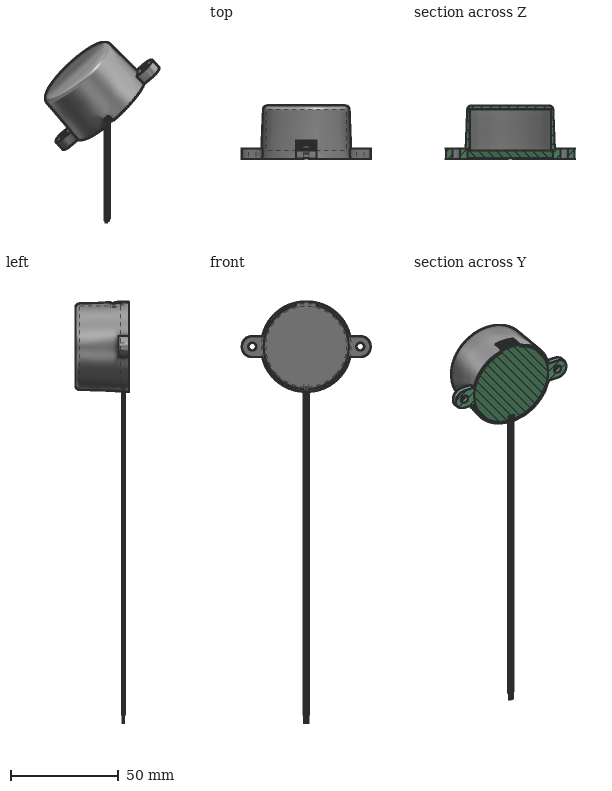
import cadquery as cq

total_height = 195.8

case_depth = 25.0
front_diameter = 42.1
back_diameter = 40.1
back_fillet = 2.4
bore_diameter = 37.6
back_wall = 2.0

ear_radius = 4.9
ear_thickness = 5.0
ear_span = 60.0
ear_hole_diameter = 3.5

cover_diameter = 39.5
cover_recess = 0.4
cover_thickness = 3.7

window_width = 9.4
window_depth = 8.8

plug_gap = 1.0
plug_corner = 0.8
plug_levels = 3
plug_step_width = 0.8
plug_step_height = 0.4
plug_groove_width = 0.8

insulation_diameter = 1.4
core_diameter = 0.65
bare_length = 4.0
wire_y = 2.7
wire_insertion = 2.0

case_radius = front_diameter / 2
wall_slope = (front_diameter - back_diameter) / 2 / case_depth
cover_back = cover_recess + cover_thickness
ear_hole_x = ear_span / 2 - ear_radius
wire_places = [-insulation_diameter / 2, insulation_diameter / 2]
wire_top = wire_insertion - cover_diameter / 2
wire_bottom = case_radius - cover_recess * wall_slope - total_height


def disc(diameter, y_start, length, end_diameter=None):
    """Round body along +Y starting at y_start, tapered when end_diameter is given."""
    radius = diameter / 2
    end_radius = (end_diameter or diameter) / 2
    y_end = y_start + length
    profile = [(0, y_start), (radius, y_start), (end_radius, y_end), (0, y_end)]
    return cq.Workplane("XY").polyline(profile).close().revolve(360, (0, 0), (0, 1))


def case_envelope(inward=0):
    """Outside of the case, with its round surface moved inward by the given amount."""
    body = disc(front_diameter - 2 * inward, 0, case_depth, back_diameter - 2 * inward)
    return body.faces(">Y").edges().fillet(back_fillet)


def upper_block(width, y_start, y_end):
    """Block between two Y places, reaching from the case axis up past the wall."""
    block = cq.Workplane("XY").box(width, y_end - y_start, case_radius, centered=(True, False, False))
    return block.translate((0, y_start, 0))


def wire_rod(x, diameter, bottom):
    rod = cq.Workplane("XY", origin=(x, wire_y, bottom)).circle(diameter / 2)
    return rod.extrude(wire_top - bottom)


def wire_slot(y_start):
    """Slot through the lower wall, open to the front, that ends round against both wires."""
    slot = cq.Workplane("XY").box(
        2 * insulation_diameter, wire_y - y_start, case_radius, centered=(True, False, False)
    )
    slot = slot.translate((0, y_start, -case_radius))
    for x in wire_places:
        slot = slot.union(wire_rod(x, insulation_diameter, -case_radius))
    return slot


def make_ears():
    ears = cq.Workplane("XZ").slot2D(ear_span, 2 * ear_radius).extrude(-ear_thickness)
    holes = cq.Workplane("XZ").pushPoints([(-ear_hole_x, 0), (ear_hole_x, 0)])
    return ears.cut(holes.circle(ear_hole_diameter / 2).extrude(-ear_thickness))


def make_housing():
    body = case_envelope().union(make_ears())
    body = body.cut(disc(bore_diameter, 0, case_depth - back_wall))
    body = body.cut(disc(cover_diameter, 0, cover_back))
    body = body.cut(upper_block(window_width, 0, window_depth))
    return body.cut(wire_slot(0))


def plug_level(inset, y_start, drop):
    """One level of the plug, with rounded back corners and its top below the case surface by drop."""
    level = upper_block(window_width - 2 * inset, y_start, window_depth - inset)
    level = level.edges("|Z and >Y").fillet(plug_corner)
    return level.intersect(case_envelope(drop))


def make_plug():
    """Stepped plug that stands in the window behind the cover plate."""
    plug = plug_level(plug_gap, cover_recess, (plug_levels - 1) * plug_step_height)
    for level in range(1, plug_levels):
        inset = plug_gap + level * plug_step_width
        drop = (plug_levels - 1 - level) * plug_step_height
        plug = plug.union(plug_level(inset, cover_back + plug_groove_width, drop))
    return plug.cut(disc(bore_diameter, cover_back, case_depth))


def make_cover():
    """Plate in the open front, with tabs that fill the window and the wire slot."""
    tabs = upper_block(window_width, cover_recess, cover_back).union(wire_slot(cover_recess))
    cover = disc(cover_diameter, cover_recess, cover_thickness)
    cover = cover.union(tabs.intersect(case_envelope())).union(make_plug())
    for x in wire_places:
        cover = cover.cut(wire_rod(x, insulation_diameter, wire_bottom))
    return cover


def make_core(x):
    return wire_rod(x, core_diameter, wire_bottom)


def make_insulation(x):
    return wire_rod(x, insulation_diameter, wire_bottom + bare_length).cut(make_core(x))


housing = make_housing()
cover = make_cover()
insulations = [make_insulation(x).val() for x in wire_places]
cores = [make_core(x).val() for x in wire_places]

result = cq.Compound.makeCompound([housing.solids().val(), cover.solids().val(), *insulations, *cores])